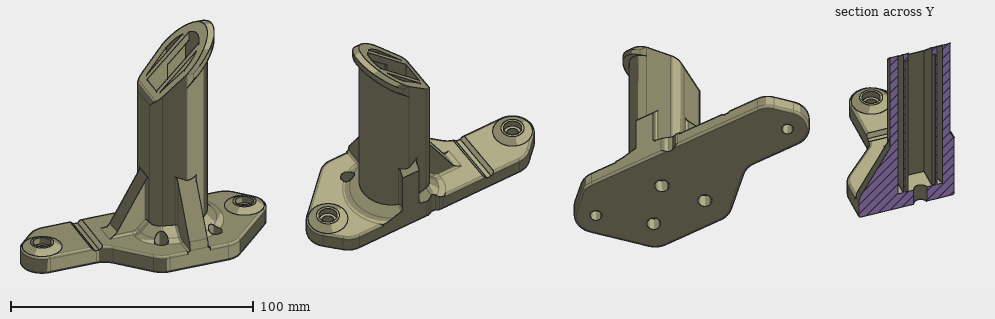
import cadquery as cq
import math

plate_height = 8.0
plate_left = -15.0
plate_right = 27.0
plate_edge_radius = 1.0
end_radius = 9.0
screw_back_y = 31.0
screw_front_y = -59.0

boss_height = 10.0
boss_top_radius = 4.75
boss_slope = 30.0
counterbore_radius = 3.75
counterbore_depth = 3.0
screw_hole_radius = 2.4

pin_hole_radius = 2.85
pin_x = 15.0
pin_y = 12.0
notch_y = -11.6
notch_half_width = 3.2
notch_slope = 30.0
notch_lip_radius = 2.7
notch_root_radius = 2.2
groove_y = -38.15
groove_top_width = 5.2
groove_depth = 1.6

tower_radius = 13.5
tower_front = 13.75
tower_front_half_width = 10.1
tower_corner_radius = 5.0
tower_wall = 3.5
mouth_axis_height = 84.5
mouth_front_radius = 5.0
flare_size = 5.0
flare_slope = 45.0
flare_root_radius = 4.0

lip_overhang = 3.0
lip_drop = 6.5

cavity_floor = plate_height
cavity_wall_inner_x = 5.2
cavity_wall_outer_x = 7.5
recess_x = 6.6
recess_front_y = -1.0
recess_drop = 4.1
drain_radius = 2.95

rib_width = 8.0
rib_reach = 28.45
rib_slope = 60.0
rib_side_radius = 1.0
rib_toe_radius = 4.5
rib_end_radius = 7.0
rib_turns = (0, 180, -90)

far = 60.0
tall = 130.0
slab_thickness = 4.0
tolerance = 0.001

mouth_front_height = mouth_axis_height - tower_front
tower_taper = (tower_radius - tower_front_half_width) / tower_front
flare_root_reach = flare_root_radius * math.tan(math.radians(flare_slope / 2))
flare_reach = flare_size + flare_root_reach


def plate_prism(height):
    """Plate outline with all corners rounded, extruded up from Z = 0."""
    diagonal_offset = end_radius * math.sqrt(2)
    back_apex = screw_back_y + diagonal_offset
    front_apex = screw_front_y - diagonal_offset
    shoulder_y = plate_right - back_apex
    tangent = end_radius * math.sqrt(0.5)
    mid_x = end_radius * math.sin(math.pi / 8)
    mid_drop = end_radius * math.cos(math.pi / 8)
    prism = (
        cq.Workplane("XY")
        .moveTo(-tangent, screw_back_y + tangent)
        .threePointArc((0, screw_back_y + end_radius), (tangent, screw_back_y + tangent))
        .lineTo(plate_right, -shoulder_y)
        .lineTo(plate_right, shoulder_y)
        .lineTo(end_radius, end_radius - back_apex)
        .lineTo(end_radius, screw_front_y)
        .threePointArc((tangent, screw_front_y - tangent), (0, screw_front_y - end_radius))
        .threePointArc((-mid_x, screw_front_y - mid_drop), (-tangent, screw_front_y - tangent))
        .lineTo(plate_left, front_apex - plate_left)
        .lineTo(plate_left, back_apex + plate_left)
        .close()
        .extrude(height)
    )
    corners = [
        (plate_right, -shoulder_y),
        (plate_right, shoulder_y),
        (end_radius, end_radius - back_apex),
        (plate_left, front_apex - plate_left),
        (plate_left, back_apex + plate_left),
    ]
    for x, y in corners:
        corner = cq.selectors.NearestToPointSelector((x, y, height / 2))
        prism = prism.edges(corner).fillet(end_radius)
    return prism


def tower_prism(bottom, top, inset=0.0):
    """Tower section between two heights: half circle behind, tapered sides and a flat front.

    A positive inset moves the whole section inwards by that distance.
    """
    radius = tower_radius - inset
    front = tower_front - inset
    side_x = tower_radius - inset * math.hypot(1, tower_taper)
    normal_gap = side_x / math.hypot(1, tower_taper)
    start_angle = math.acos(normal_gap / radius) - math.atan(tower_taper)
    start_x = radius * math.cos(start_angle)
    start_y = radius * math.sin(start_angle)
    front_x = side_x - tower_taper * front
    prism = (
        cq.Workplane("XY", origin=(0, 0, bottom))
        .moveTo(0, radius)
        .threePointArc((-radius * math.sqrt(0.5), radius * math.sqrt(0.5)), (-start_x, start_y))
        .lineTo(-front_x, -front)
        .lineTo(front_x, -front)
        .lineTo(start_x, start_y)
        .threePointArc((radius * math.sqrt(0.5), radius * math.sqrt(0.5)), (0, radius))
        .close()
        .extrude(top - bottom)
    )
    return prism.edges("|Z").edges("<Y").fillet(tower_corner_radius - inset)


def side_prism(points):
    """Extrude a closed outline given as (Y, Z) points across the full width of the part."""
    return cq.Workplane("YZ").polyline(points).close().extrude(far, both=True)


def below_mouth():
    """Everything behind the tower front and below the 45 degree mouth, with the front edge rounded."""
    keep = side_prism(
        [
            (-tower_front, mouth_front_height),
            (far, mouth_axis_height + far),
            (far, 0),
            (-tower_front, 0),
        ]
    )
    mouth_edge = cq.selectors.NearestToPointSelector((0, -tower_front, mouth_front_height))
    return keep.edges(mouth_edge).fillet(mouth_front_radius)


def flare():
    """45 degree skirt with a rounded root, swept around the foot of the tower."""
    overlap = 1.0
    half_angle = math.radians(flare_slope / 2)
    root_end = tower_radius + flare_reach
    root_start = root_end - flare_root_reach * (1 + math.sqrt(0.5))
    root_mid = root_end - flare_root_radius * math.sin(half_angle)
    profile = (
        cq.Workplane("YZ")
        .moveTo(tower_radius - overlap, plate_height - overlap)
        .lineTo(root_end, plate_height - overlap)
        .lineTo(root_end, plate_height)
        .threePointArc(
            (root_mid, plate_height + flare_root_radius * (1 - math.cos(half_angle))),
            (root_start, plate_height + flare_root_reach * math.sqrt(0.5)),
        )
        .lineTo(tower_radius, plate_height + flare_size)
        .lineTo(tower_radius - overlap, plate_height + flare_size)
        .close()
    )
    path = tower_prism(plate_height, plate_height + flare_size).faces("<Z").wires()
    return profile.sweep(path, transition="round")


def outside_rib(turn):
    """Triangular rib pointing along +X, turned about the tower axis."""
    start = tower_radius / 2
    top = (rib_reach - start) * math.tan(math.radians(rib_slope))
    return (
        cq.Workplane("XZ")
        .moveTo(start, plate_height)
        .lineTo(rib_reach, plate_height)
        .lineTo(start, plate_height + top)
        .close()
        .extrude(rib_width / 2, both=True)
        .rotate((0, 0, 0), (0, 0, 1), turn)
    )


def rib_root_edges(body, turn):
    """Edges where both sides of a rib meet the tower, its flare and the plate."""
    along = cq.Vector(math.cos(math.radians(turn)), math.sin(math.radians(turn)), 0)
    sideways = cq.Vector(-along.y, along.x, 0)
    slope_climb = math.sin(math.radians(rib_slope))
    edges = []
    for edge in body.edges().vals():
        centre = edge.Center()
        on_rib_side = abs(abs(centre.dot(sideways)) - rib_width / 2) < tolerance
        outside_tower = centre.dot(along) > tower_radius / 2
        above_plate = centre.z > plate_height - tolerance
        on_slope = edge.geomType() == "LINE" and abs(abs(edge.tangentAt(0).z) - slope_climb) < tolerance
        if on_rib_side and outside_tower and above_plate and not on_slope:
            edges.append(edge)
    return edges


def above_plate_space():
    """Everything above the plate's top face."""
    space = cq.Workplane("XY").box(2 * far, 2 * far, tall, centered=(True, True, False))
    return space.translate((0, 0, plate_height))


def foundation():
    """Footprint of the flare and side ribs, which fills the plate's rounded edge below them."""
    bottom = plate_height - slab_thickness
    footprint = tower_prism(bottom, plate_height).faces("<Z").wires().toPending()
    footprint = footprint.workplane(invert=True).offset2D(flare_reach).extrude(slab_thickness)
    rib_base = (
        cq.Workplane("XY")
        .box(2 * far, rib_width + 2 * rib_side_radius, slab_thickness, centered=(True, True, False))
        .translate((0, 0, bottom))
    )
    return footprint.union(rib_base)


def upper_body():
    """Tower, flare and filleted ribs on an oversized slab, trimmed to the plate outline."""
    slab = cq.Workplane("XY").box(2 * far, 2 * far, slab_thickness, centered=(True, True, False))
    body = slab.translate((0, 0, plate_height - slab_thickness))
    tower = tower_prism(plate_height - slab_thickness, tall).intersect(below_mouth())
    body = body.union(tower).union(flare())
    for turn in rib_turns:
        body = body.union(outside_rib(turn))
    for turn in rib_turns:
        body = body.newObject(rib_root_edges(body, turn)).fillet(rib_side_radius)
    front_toe = cq.selectors.NearestToPointSelector((0, -rib_reach, plate_height))
    body = body.edges(front_toe).fillet(rib_toe_radius)

    body = body.intersect(plate_prism(tall))
    end_height = plate_height + (rib_reach - plate_right) * math.tan(math.radians(rib_slope))
    right_end = cq.selectors.NearestToPointSelector((plate_right, 0, end_height))
    body = body.edges(right_end).fillet(rib_end_radius)
    return body.intersect(foundation().union(above_plate_space()))


def stadium_half(plane, centre, depth):
    """Half disc of the tower radius above a rectangle reaching down from its centre by depth."""
    return (
        cq.Workplane(plane)
        .moveTo(-tower_radius, centre - depth)
        .lineTo(-tower_radius, centre)
        .threePointArc((0, centre + tower_radius), (tower_radius, centre))
        .lineTo(tower_radius, centre - depth)
        .close()
    )


def lip():
    """45 degree collar behind the mouth, round both from above and from the front."""
    slab = side_prism(
        [
            (0, mouth_axis_height),
            (far, mouth_axis_height + far),
            (far, mouth_axis_height + far - lip_drop),
            (0, mouth_axis_height - lip_drop),
        ]
    )
    from_above = stadium_half("XY", lip_overhang, lip_overhang).extrude(tall)
    from_front = stadium_half("XZ", mouth_axis_height, mouth_axis_height).extrude(far, both=True)
    return slab.intersect(from_above).intersect(from_front)


def wall_recess():
    """Shallow recess in both inner walls of the middle bay, starting just below the mouth."""
    zone = side_prism(
        [
            (recess_front_y, cavity_floor),
            (recess_front_y, recess_front_y + mouth_axis_height - recess_drop),
            (far, far + mouth_axis_height - recess_drop),
            (far, cavity_floor),
        ]
    )
    bay = cq.Workplane("XY").box(2 * recess_x, 2 * far, 2 * tall)
    return tower_prism(cavity_floor, tall, tower_wall).intersect(bay).intersect(zone)


def cavity():
    """Tower interior split into three bays by two walls, and the drain hole in its floor."""
    space = tower_prism(cavity_floor, tall, tower_wall)
    wall_thickness = cavity_wall_outer_x - cavity_wall_inner_x
    wall_centre = (cavity_wall_outer_x + cavity_wall_inner_x) / 2
    for side in (1, -1):
        wall = cq.Workplane("XY").box(wall_thickness, 2 * far, 2 * tall)
        space = space.cut(wall.translate((side * wall_centre, 0, 0)))
    drain = cq.Workplane("XY").circle(drain_radius).extrude(cavity_floor)
    return space.union(wall_recess()).union(drain)


def screw_boss(y):
    """Conical boss rising from inside the plate."""
    run_per_rise = 1 / math.tan(math.radians(boss_slope))
    rise = boss_height - plate_height
    base_radius = boss_top_radius + rise * run_per_rise
    embedded_base = plate_height - plate_edge_radius
    return (
        cq.Workplane("XZ", origin=(0, y, 0))
        .moveTo(0, embedded_base)
        .lineTo(base_radius, embedded_base)
        .lineTo(base_radius, plate_height)
        .lineTo(boss_top_radius, boss_height)
        .lineTo(0, boss_height)
        .close()
        .revolve(360, (0, 0, 0), (0, 1, 0))
    )


def screw_hole(y):
    """Counterbored through hole."""
    hole = cq.Workplane("XY", origin=(0, y, 0)).circle(screw_hole_radius).extrude(boss_height)
    bore = cq.Workplane("XY", origin=(0, y, boss_height - counterbore_depth)).circle(counterbore_radius)
    return hole.union(bore.extrude(counterbore_depth))


def pin_hole(y):
    """Plain through hole, which also cuts the edge of the flare."""
    return cq.Workplane("XY").center(pin_x, y).circle(pin_hole_radius).extrude(plate_height + flare_size)


def groove():
    """Flat-bottomed 45 degree groove across the plate."""
    top_half = groove_top_width / 2
    bottom_half = top_half - groove_depth
    bottom = plate_height - groove_depth
    return side_prism(
        [
            (groove_y - top_half, plate_height),
            (groove_y - bottom_half, bottom),
            (groove_y + bottom_half, bottom),
            (groove_y + top_half, plate_height),
        ]
    )


def edge_notch():
    """Shallow V notch through the left edge, with a rounded root and rounded lips."""
    notch_depth = notch_half_width * math.tan(math.radians(notch_slope))
    notch_margin = 2 * notch_half_width
    notch_height = plate_height + flare_size
    notch = (
        cq.Workplane("XY", origin=(plate_left, notch_y, 0))
        .moveTo(0, notch_margin)
        .lineTo(0, notch_half_width)
        .lineTo(notch_depth, 0)
        .lineTo(0, -notch_half_width)
        .lineTo(0, -notch_margin)
        .lineTo(-notch_margin, -notch_margin)
        .lineTo(-notch_margin, notch_margin)
        .close()
        .extrude(notch_height)
    )
    for y in (notch_half_width, -notch_half_width):
        lip_edge = cq.selectors.NearestToPointSelector((plate_left, notch_y + y, notch_height / 2))
        notch = notch.edges(lip_edge).fillet(notch_lip_radius)
    root_edge = cq.selectors.NearestToPointSelector((plate_left + notch_depth, notch_y, notch_height / 2))
    return notch.edges(root_edge).fillet(notch_root_radius)


plate = plate_prism(plate_height).faces("<Z or >Z").edges().fillet(plate_edge_radius)
body = plate.union(upper_body()).union(lip())
for y in (screw_back_y, screw_front_y):
    body = body.union(screw_boss(y)).cut(screw_hole(y))
for y in (pin_y, -pin_y):
    body = body.cut(pin_hole(y))
result = body.cut(groove()).cut(edge_notch()).cut(cavity())